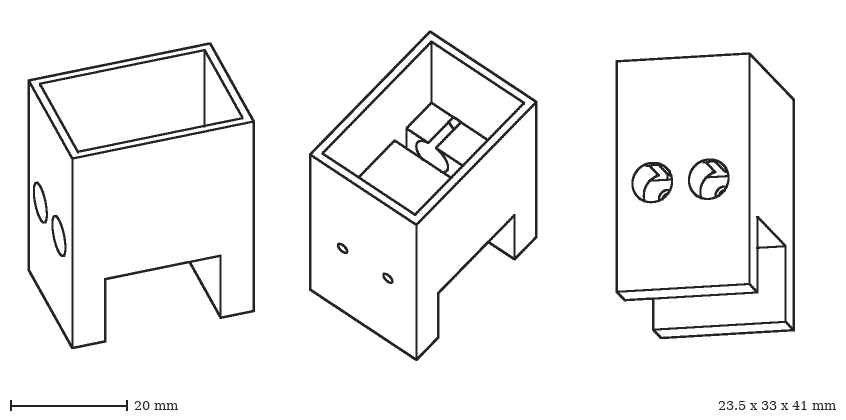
import cadquery as cq

width = 23.5
depth = 33.0
height = 41.0
wall = 1.5

floor_z = 22.45
leg_thickness = 6.03
slot_height = 13.45

trench_width = 3.25

hole_spacing = 10.0
hole_mid_x = -0.45
hole_z = 19.05
counterbore_diameter = 7.0
counterbore_depth = 8.4
countersink_diameter = 3.2
through_diameter = 2.0
countersink_depth = 0.33

front_y = -depth / 2
trench_front_y = front_y + counterbore_depth
trench_back_y = trench_front_y + trench_width
trench_floor_z = slot_height + wall


def block(size_x, size_y, size_z, center_y, bottom_z):
    """Box centered in X, given its center in Y and its bottom height."""
    return (
        cq.Workplane("XY")
        .box(size_x, size_y, size_z, centered=(True, True, False))
        .translate((0, center_y, bottom_z))
    )


def stepped_hole(x):
    """Counterbore to the trench, then a countersunk through hole in its back wall."""
    axis = cq.Vector(0, 1, 0)
    entry = cq.Vector(x, front_y, hole_z)
    shoulder = cq.Vector(x, trench_back_y, hole_z)
    counterbore = cq.Solid.makeCylinder(counterbore_diameter / 2, counterbore_depth, entry, axis)
    through = cq.Solid.makeCylinder(through_diameter / 2, depth, entry, axis)
    countersink = cq.Solid.makeCone(
        countersink_diameter / 2, through_diameter / 2, countersink_depth, shoulder, axis
    )
    return cq.Workplane(obj=counterbore.fuse(countersink, through))


inner_width = width - 2 * wall
body = block(width, depth, height, 0, 0)
cavity = block(inner_width, depth - 2 * wall, height - floor_z, 0, floor_z)
slot = block(width, depth - 2 * leg_thickness, slot_height, 0, 0)
trench_mid_y = (trench_front_y + trench_back_y) / 2
trench = block(inner_width, trench_width, floor_z - trench_floor_z, trench_mid_y, trench_floor_z)

result = body.cut(cavity).cut(slot).cut(trench)
for side in (-1, 1):
    result = result.cut(stepped_hole(hole_mid_x + side * hole_spacing / 2))